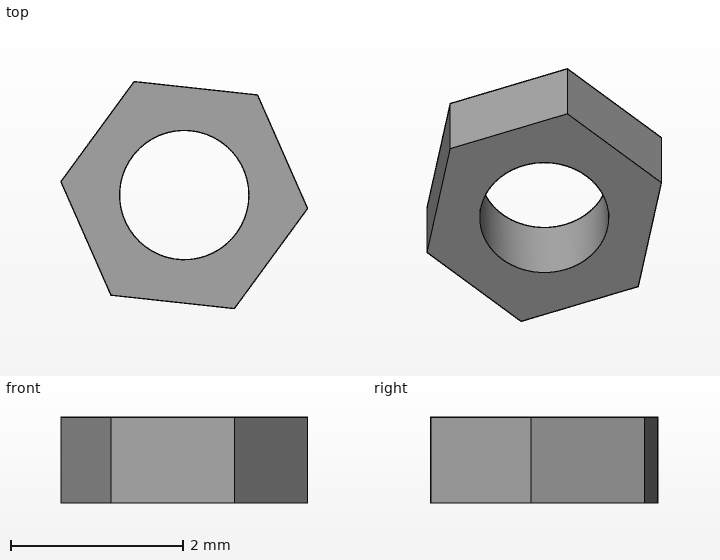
import cadquery as cq
import math

across_flats = 2.5
bore_diameter = 1.5
thickness = 1.0
corner_angle = -6.2

across_corners = across_flats / math.cos(math.radians(30))


def hexagonal_body():
    """Hexagonal prism standing on the XY plane, turned about Z."""
    prism = cq.Workplane("XY").polygon(6, across_corners).extrude(thickness)
    return prism.rotate((0, 0, 0), (0, 0, 1), corner_angle)


def cut_bore(body):
    """Plain round hole through the full thickness, on the Z axis."""
    bore = cq.Workplane("XY").circle(bore_diameter / 2).extrude(thickness)
    return body.cut(bore)


result = cut_bore(hexagonal_body())